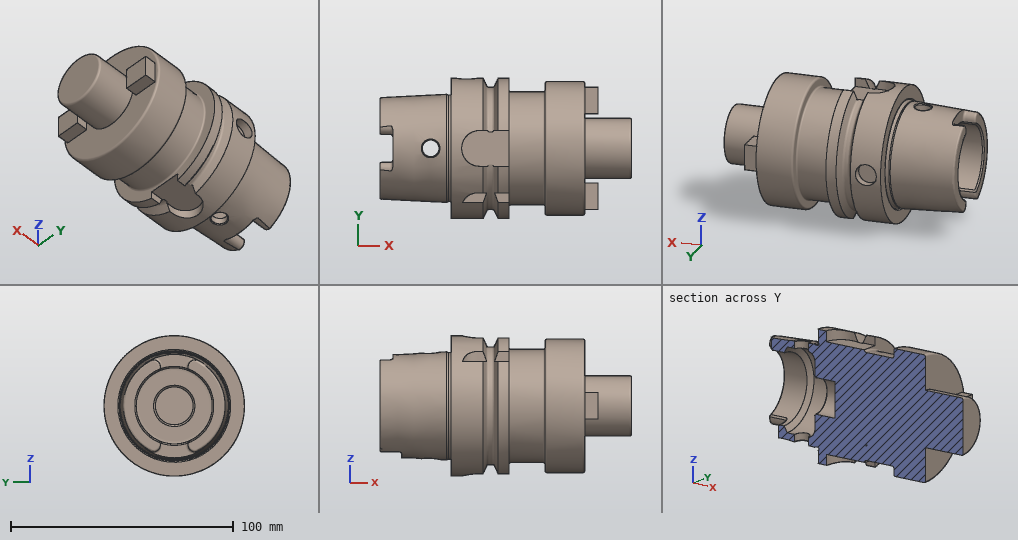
import cadquery as cq
import math


overall_length = 113.0
taper_end = 30.0
relief_start = 30.7
flange_start = 32.0
flange_end = 58.0
collar_start = 74.1
collar_end = 92.0
key_end = 98.0

taper_front_radius = 22.8
taper_rear_radius = 24.3
relief_radius = 24.0
recess_radius = 25.3
flange_radius = 31.5
neck_radius = 25.4
collar_radius = 30.1
spigot_radius = 13.6

nose_round = 0.9
recess_depth = 0.5
recess_fillet = 0.8
neck_fillet = 0.8
collar_round = 1.0
spigot_round = 1.0

groove_center = 49.7
groove_mouth_width = 6.8
groove_floor_radius = 27.5
groove_wall_angle = 26.0
groove_fillet = 1.0

drive_slot_width = 12.4
drive_slot_straight_height = 17.5
drive_slot_flare_radius = 3.2
upper_drive_slot_depth = 5.9
lower_drive_slot_depth = 9.8
drive_slot_fillet = 1.1

bore_mouth_radius = 17.1
bore_mouth_length = 13.2
bore_rear_radius = 20.0
clamp_face_angle = 60.0
bore_depth = 30.1
bore_fillet = 4.1
bore_chamfer = 0.7
center_hole_radius = 8.5
center_hole_depth = 11.3
center_hole_chamfer = 0.8

cross_hole_x = 22.8
cross_hole_radius = 3.7
cross_hole_chamfer = 0.5

keyway_width = 16.0
keyway_start = 36.7
keyway_floor = 26.4
notch_offset = 20.0
notch_corner_radius = 7.0
notch_corner_x = 43.6
data_hole_x = 39.0
data_hole_radius = 5.0
data_hole_depth = 4.5

key_width = 12.0
key_center_y = 21.5

cut_reach = 2 * flange_radius
tolerance = 0.02


def revolve_about_x(outline):
    return outline.close().revolve(360, (0, 0, 0), (1, 0, 0))


def edge_zone(x_limits, y_reach, z_limits):
    """Selector for the edges that lie wholly inside a box centred on Y = 0."""
    return cq.selectors.BoxSelector(
        (x_limits[0] - tolerance, -y_reach - tolerance, z_limits[0] - tolerance),
        (x_limits[1] + tolerance, y_reach + tolerance, z_limits[1] + tolerance),
        boundingbox=True,
    )


def turned_body():
    """Solid of revolution with the bore still closed."""
    recess_floor = flange_start + recess_depth
    groove_mouth_half = groove_mouth_width / 2
    groove_drop = flange_radius - groove_floor_radius
    groove_floor_half = groove_mouth_half - groove_drop * math.tan(math.radians(groove_wall_angle))
    outline = (
        cq.Workplane("XY")
        .moveTo(0, 0)
        .lineTo(0, taper_front_radius - nose_round)
        .radiusArc((nose_round, taper_front_radius), nose_round)
        .lineTo(taper_end, taper_rear_radius)
        .lineTo(relief_start, relief_radius)
        .lineTo(recess_floor - recess_fillet, relief_radius)
        .radiusArc((recess_floor, relief_radius + recess_fillet), -recess_fillet)
        .lineTo(flange_start, recess_radius)
        .lineTo(flange_start, flange_radius)
        .lineTo(groove_center - groove_mouth_half, flange_radius)
        .lineTo(groove_center - groove_floor_half, groove_floor_radius)
        .lineTo(groove_center + groove_floor_half, groove_floor_radius)
        .lineTo(groove_center + groove_mouth_half, flange_radius)
        .lineTo(flange_end, flange_radius)
        .lineTo(flange_end, neck_radius + neck_fillet)
        .radiusArc((flange_end + neck_fillet, neck_radius), -neck_fillet)
        .lineTo(collar_start - neck_fillet, neck_radius)
        .radiusArc((collar_start, neck_radius + neck_fillet), -neck_fillet)
        .lineTo(collar_start, collar_radius - collar_round)
        .radiusArc((collar_start + collar_round, collar_radius), collar_round)
        .lineTo(collar_end - collar_round, collar_radius)
        .radiusArc((collar_end, collar_radius - collar_round), collar_round)
        .lineTo(collar_end, spigot_radius)
        .lineTo(overall_length - spigot_round, spigot_radius)
        .radiusArc((overall_length, spigot_radius - spigot_round), spigot_round)
        .lineTo(overall_length, 0)
    )
    body = revolve_about_x(outline)
    groove_floor_zone = edge_zone(
        (groove_center - groove_floor_half, groove_center + groove_floor_half),
        groove_floor_radius,
        (-groove_floor_radius, groove_floor_radius),
    )
    return body.edges(groove_floor_zone).edges("%CIRCLE").fillet(groove_fillet)


def drive_slot_profile(depth):
    """Upper slot section swept along X: straight walls that flare outward to a wide top."""
    half_width = drive_slot_width / 2
    flare_y = half_width + drive_slot_flare_radius
    flare_z = drive_slot_straight_height + drive_slot_flare_radius
    return (
        cq.Workplane("YZ")
        .moveTo(-half_width, 0)
        .lineTo(half_width, 0)
        .lineTo(half_width, drive_slot_straight_height)
        .radiusArc((flare_y, flare_z), drive_slot_flare_radius)
        .lineTo(cut_reach, flare_z)
        .lineTo(cut_reach, cut_reach)
        .lineTo(-cut_reach, cut_reach)
        .lineTo(-cut_reach, flare_z)
        .lineTo(-flare_y, flare_z)
        .radiusArc((-half_width, drive_slot_straight_height), drive_slot_flare_radius)
        .close()
        .extrude(depth)
    )


def drive_slot_cutter(depth):
    """Upper slot tool: rounded along the slot floor, with a rounded mouth on the nose face."""
    slot = drive_slot_profile(depth).faces(">X").edges().fillet(drive_slot_fillet)
    lands = (
        cq.Workplane("YZ")
        .rect(2 * cut_reach, 2 * cut_reach)
        .extrude(depth)
        .cut(slot)
        .faces("<X")
        .edges()
        .fillet(nose_round)
    )
    nose_width = 2 * taper_rear_radius
    return cq.Workplane("YZ").rect(nose_width, nose_width).extrude(depth).cut(lands)


def cut_drive_slots(body):
    upper = drive_slot_cutter(upper_drive_slot_depth)
    lower = drive_slot_cutter(lower_drive_slot_depth).rotate((0, 0, 0), (1, 0, 0), 180)
    return body.cut(upper).cut(lower)


def bore_cutter():
    """Bore with a clamping recess behind the mouth and a smaller hole in its floor."""
    clamp_face_length = (bore_rear_radius - bore_mouth_radius) / math.tan(math.radians(clamp_face_angle))
    outline = (
        cq.Workplane("XY")
        .moveTo(0, 0)
        .lineTo(0, bore_mouth_radius)
        .lineTo(bore_mouth_length, bore_mouth_radius)
        .lineTo(bore_mouth_length + clamp_face_length, bore_rear_radius)
        .lineTo(bore_depth - bore_fillet, bore_rear_radius)
        .radiusArc((bore_depth, bore_rear_radius - bore_fillet), bore_fillet)
        .lineTo(bore_depth, center_hole_radius + center_hole_chamfer)
        .lineTo(bore_depth + center_hole_chamfer, center_hole_radius)
        .lineTo(bore_depth + center_hole_depth, center_hole_radius)
        .lineTo(bore_depth + center_hole_depth, 0)
    )
    return revolve_about_x(outline)


def keyway_cutter():
    """Upper keyway: flat floor, round end, open towards the neck."""
    end_radius = keyway_width / 2
    floor = cq.Workplane("XY", origin=(0, 0, keyway_floor))
    arc_x = keyway_start + end_radius
    run = flange_end - arc_x
    return (
        floor.center(arc_x, 0).circle(end_radius).extrude(cut_reach)
        .union(floor.center(arc_x + run / 2, 0).rect(run, keyway_width).extrude(cut_reach))
    )


def notch_cutter():
    """Square-cornered notch in the flange on the -Y, +Z side, rounded at its closed end."""
    return (
        cq.Workplane("XY", origin=(0, 0, notch_offset))
        .moveTo(flange_end, -notch_offset)
        .lineTo(notch_corner_x, -notch_offset)
        .radiusArc((notch_corner_x - notch_corner_radius, -notch_offset - notch_corner_radius),
                   -notch_corner_radius)
        .lineTo(notch_corner_x - notch_corner_radius, -cut_reach)
        .lineTo(flange_end, -cut_reach)
        .close()
        .extrude(cut_reach)
    )


def data_hole_cutter():
    """Blind round hole in the flange on the +Y side."""
    return (
        cq.Workplane("XZ", origin=(data_hole_x, flange_radius - data_hole_depth, 0))
        .circle(data_hole_radius)
        .extrude(-cut_reach)
    )


def drive_key(side):
    """Square key on the collar face, rooted inside the collar so that it joins it."""
    key_root = collar_end - collar_round
    return (
        cq.Workplane("YZ", origin=(key_root, side * key_center_y, 0))
        .rect(key_width, key_width)
        .extrude(key_end - key_root)
    )


def break_bore_edge(body):
    """Chamfer the bore edge around the nose face and along both drive slots."""

    def lies_on_bore(edge):
        middle = edge.positionAt(0.5)
        return abs(math.hypot(middle.y, middle.z) - bore_mouth_radius) < tolerance

    nose_zone = edge_zone(
        (0, lower_drive_slot_depth), bore_mouth_radius, (-bore_mouth_radius, bore_mouth_radius)
    )
    return body.edges(nose_zone).filter(lies_on_bore).chamfer(bore_chamfer)


def drill_cross_hole(body):
    """Drill through both taper walls along Z and chamfer the two outer rims."""
    drill = (
        cq.Workplane("XY", origin=(cross_hole_x, 0, -cut_reach))
        .circle(cross_hole_radius)
        .extrude(2 * cut_reach)
    )
    drilled = body.cut(drill)
    x_limits = (cross_hole_x - cross_hole_radius, cross_hole_x + cross_hole_radius)
    wall_middle = (bore_rear_radius + taper_rear_radius) / 2
    for z_limits in ((-taper_rear_radius, -wall_middle), (wall_middle, taper_rear_radius)):
        rim_zone = edge_zone(x_limits, cross_hole_radius, z_limits)
        drilled = drilled.edges(rim_zone).chamfer(cross_hole_chamfer)
    return drilled


def cut_flange(body):
    """Two opposite keyways, the notch and the blind hole."""
    upper_keyway = keyway_cutter()
    lower_keyway = upper_keyway.mirror("XY")
    for cutter in (upper_keyway, lower_keyway, notch_cutter(), data_hole_cutter()):
        body = body.cut(cutter)
    return body


result = cut_drive_slots(turned_body())
result = break_bore_edge(result.cut(bore_cutter()))
result = drill_cross_hole(result)
result = cut_flange(result)
for side in (-1, 1):
    result = result.union(drive_key(side))